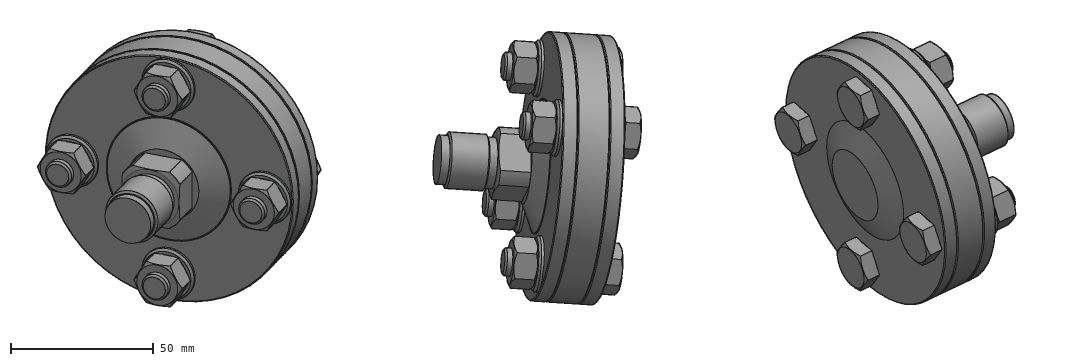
import cadquery as cq
import math


flange_dia = 95.0
ring_thickness = 11.4
flange_thickness = 5.4
edge_chamfer = 0.4

hub_tip_dia = 27.2
back_hub_base_dia = 45.6
back_hub_height = 4.4
front_hub_base_dia = 47.1
front_hub_height = 4.9
plinth_dia = 47.9
plinth_height = 0.3

block_flats = 22.0
block_corner_dia = 26.1
block_length = 11.5
block_chamfer_dia = 21.85
block_chamfer_length = 0.7
neck_dia = 18.2
neck_length = 2.8
thread_dia = 20.0
thread_length = 14.25
thread_chamfer_length = 0.6
tip_dia = 17.5
tip_length = 2.9

bolt_count = 4
bolt_circle_dia = 74.0
stud_dia = 10.0
stud_chamfer = 0.8
stud_projection = 2.7
hex_flats = 16.1
hex_chamfer_dia = 15.7
hex_chamfer_angle = 30.0
head_height = 5.8
head_collar_dia = 14.6
head_collar_height = 0.5
washer_dia = 20.0
washer_thickness = 1.8
washer_chamfer = 0.9
nut_height = 8.55

stack_face = ring_thickness / 2 + flange_thickness
front_hub_end = -stack_face - front_hub_height
block_end = front_hub_end - block_length
neck_end = block_end - neck_length
thread_end = neck_end - thread_length
tip_end = thread_end - tip_length
head_seat = stack_face + head_collar_height
head_end = head_seat + head_height
washer_end = -stack_face - washer_thickness
nut_end = washer_end - nut_height
stud_end = nut_end - stud_projection


def turned(profile):
    """Solid of revolution about Y from (diameter, y) pairs listed along the axis."""
    outline = [(0, profile[0][1])]
    outline += [(dia / 2, y) for dia, y in profile]
    outline += [(0, profile[-1][1])]
    return cq.Workplane("XY").polyline(outline).close().revolve(360, (0, 0), (0, 1))


def disc(y_start, y_end):
    """Flange-diameter disc with both rims chamfered."""
    rim_dia = flange_dia - 2 * edge_chamfer
    return turned([
        (rim_dia, y_start),
        (flange_dia, y_start + edge_chamfer),
        (flange_dia, y_end - edge_chamfer),
        (rim_dia, y_end),
    ])


def along_y(y_start):
    """Workplane at y_start whose extrusions run toward +Y."""
    return cq.Workplane("XZ", origin=(0, y_start, 0)).transformed(rotate=(180, 0, 0))


def hexagon(y_start, y_end, chamfer_start):
    """Hexagonal prism with corners on X, chamfered at the +Y end and optionally at the -Y end."""
    corner_dia = hex_flats / math.cos(math.pi / 6)
    chamfer_slope = math.tan(math.radians(hex_chamfer_angle))
    chamfer_length = (corner_dia - hex_chamfer_dia) / 2 * chamfer_slope
    end = [(corner_dia, y_end - chamfer_length), (hex_chamfer_dia, y_end)]
    if chamfer_start:
        start = [(hex_chamfer_dia, y_start), (corner_dia, y_start + chamfer_length)]
    else:
        start = [(corner_dia, y_start)]
    prism = along_y(y_start).polygon(6, corner_dia).extrude(y_end - y_start)
    return prism.intersect(turned(start + end))


def flange_stack():
    ring_face = ring_thickness / 2
    stack = disc(-ring_face, ring_face)
    stack = stack.union(disc(ring_face, stack_face))
    return stack.union(disc(-stack_face, -ring_face))


def hubs():
    back = turned([
        (back_hub_base_dia, stack_face),
        (hub_tip_dia, stack_face + back_hub_height),
    ])
    front = turned([
        (hub_tip_dia, front_hub_end),
        (front_hub_base_dia, -stack_face - plinth_height),
        (plinth_dia, -stack_face - plinth_height),
        (plinth_dia, -stack_face),
    ])
    return back, front


def wrench_block():
    square = along_y(block_end).rect(block_flats, block_flats).extrude(block_length)
    envelope = turned([
        (block_chamfer_dia, block_end),
        (block_corner_dia, block_end + block_chamfer_length),
        (block_corner_dia, front_hub_end),
    ])
    return square.intersect(envelope)


def stem():
    return turned([
        (tip_dia, tip_end),
        (tip_dia, thread_end),
        (neck_dia, thread_end),
        (thread_dia, thread_end + thread_chamfer_length),
        (thread_dia, neck_end - thread_chamfer_length),
        (neck_dia, neck_end),
        (neck_dia, block_end),
    ])


def bolt():
    """Bolt on the Y axis with its head at +Y and its washer and nut at -Y."""
    shank = turned([
        (stud_dia - 2 * stud_chamfer, stud_end),
        (stud_dia, stud_end + stud_chamfer),
        (stud_dia, head_seat),
    ])
    collar = turned([(head_collar_dia, stack_face), (head_collar_dia, head_seat)])
    washer = turned([
        (washer_dia - 2 * washer_chamfer, washer_end),
        (washer_dia, washer_end + washer_chamfer),
        (washer_dia, -stack_face),
    ])
    head = hexagon(head_seat, head_end, chamfer_start=False)
    nut = hexagon(nut_end, washer_end, chamfer_start=True)
    return shank.union(collar).union(washer).union(head).union(nut)


result = flange_stack()
for hub in hubs():
    result = result.union(hub)
result = result.union(wrench_block()).union(stem())

bolt_body = bolt()
for i in range(bolt_count):
    angle = 2 * math.pi * i / bolt_count
    x = bolt_circle_dia / 2 * math.cos(angle)
    z = bolt_circle_dia / 2 * math.sin(angle)
    result = result.union(bolt_body.translate((x, 0, z)))